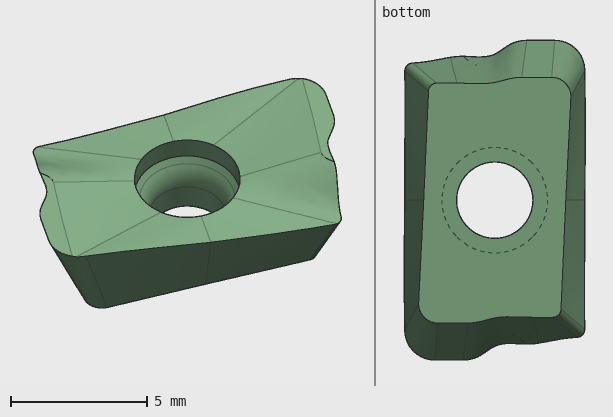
import cadquery as cq
import math

height = 3.6

base_long_y = 4.51
base_short_y = 4.3
base_mid_x = 2.61
base_wide_x = 2.8
base_narrow_x = 2.43
base_nose_radius = 0.7

rim_long_y = 5.88
rim_short_y = 5.31
rim_mid_x = 3.45
rim_wide_x = 3.31
rim_narrow_x = 3.63
rim_nose_radius = 1.12

small_corner_radius = 0.29
wave_start_x = -1.65
wave_knee_x = 0.0
wave_knee_share = 0.1
wave_end_x = 1.18

valley_z = 2.98
low_corner_z = 2.55
crest_z = 3.71
border_x = 3.7
ramp_high_x = -0.59
low_end_y = 5.52
ramp_end_y = 5.52
high_end_y = 5.99
low_level_y = 4.0
high_level_y = 4.46
fan_angles = (180, 225, 258, 315, 360)
cutter_depth = 1.76

bore_radius = 2.8 / 2
mouth_radius = 1.94
seat_radius = 1.75
mouth_floor_z = 2.13
seat_top_z = 1.9
seat_bottom_z = 1.05


def opposite(x, y, turned):
    """Point turned half a revolution about Z when asked."""
    return (-x, -y) if turned else (x, y)


def half_outline(sketch, turned, mid_x, wide_x, narrow_x, long_y, short_y, nose_radius):
    """Draw one end of the outline, from the small-corner flank round to the other flank."""

    def at(x, y):
        return opposite(x, y, turned)

    corner = small_corner_radius
    inset = 1 - math.sqrt(0.5)
    sketch = sketch.lineTo(*at(-narrow_x, -short_y + corner))
    sketch = sketch.threePointArc(
        at(-narrow_x + corner * inset, -short_y + corner * inset),
        at(-narrow_x + corner, -short_y),
    )
    spread = wide_x / rim_wide_x
    wave_start = at(wave_start_x * spread, -short_y)
    knee_y = short_y + wave_knee_share * (long_y - short_y)
    wave_knee = at(wave_knee_x * spread, -knee_y)
    wave_end = at(wave_end_x * spread, -long_y)
    along = at(1, 0)
    sketch = sketch.lineTo(*wave_start)
    sketch = sketch.spline([wave_knee, wave_end], tangents=[along, None, along], includeCurrent=True)
    sketch = sketch.lineTo(*at(wide_x - nose_radius, -long_y))
    sketch = sketch.threePointArc(
        at(wide_x - nose_radius * inset, -long_y + nose_radius * inset),
        at(wide_x, -long_y + nose_radius),
    )
    return sketch.lineTo(*at(mid_x, 0))


def outline(z, mid_x, *sizes):
    """Closed outline wire at the given height."""
    sketch = cq.Workplane("XY", origin=(0, 0, z)).moveTo(-mid_x, 0)
    for turned in (False, True):
        sketch = half_outline(sketch, turned, mid_x, *sizes)
    return sketch.wire().val()


def tapered_body():
    base = outline(0, base_mid_x, base_wide_x, base_narrow_x, base_long_y, base_short_y, base_nose_radius)
    rim = outline(height, rim_mid_x, rim_wide_x, rim_narrow_x, rim_long_y, rim_short_y, rim_nose_radius)
    return cq.Workplane(cq.Solid.makeLoft([base, rim], True))


def mouth_point(angle):
    turn = math.radians(angle)
    return cq.Vector(mouth_radius * math.cos(turn), mouth_radius * math.sin(turn), valley_z)


def top_border():
    """Edges around the -Y half of the top surface, from the -X side to the +X side."""
    low_side = cq.Vector(-border_x, 0, valley_z)
    low_corner = cq.Vector(-border_x, -low_end_y, low_corner_z)
    low_turn = cq.Vector(-border_x, -low_level_y, low_corner_z)
    ramp_top = cq.Vector(ramp_high_x, -ramp_end_y, crest_z)
    high_corner = cq.Vector(border_x, -high_end_y, crest_z)
    high_turn = cq.Vector(border_x, -high_level_y, crest_z)
    high_side = cq.Vector(border_x, 0, valley_z)
    along = cq.Vector(1, 0, 0)
    return [
        cq.Edge.makeBezier([low_side, low_turn, low_corner]),
        cq.Edge.makeSpline([low_corner, ramp_top], tangents=[along, along]),
        cq.Edge.makeLine(ramp_top, high_corner),
        cq.Edge.makeBezier([high_corner, high_turn, high_side]),
    ]


def top_cutters():
    """Solids standing on the -Y half of the top surface."""
    cutters = []
    for border, start, end in zip(top_border(), fan_angles, fan_angles[1:]):
        mouth = cq.Edge.makeThreePointArc(
            mouth_point(start), mouth_point((start + end) / 2), mouth_point(end)
        )
        surface = cq.Face.makeRuledSurface(mouth, border)
        cutters.append(cq.Solid.extrudeLinear(surface, cq.Vector(0, 0, cutter_depth)))
    return cutters


def screw_hole():
    """Cylindrical mouth, short cone, rounded seat and straight bore."""
    rise = seat_top_z - seat_bottom_z
    step = seat_radius - bore_radius
    seat_arc_radius = (rise**2 + step**2) / (2 * step)
    half_sweep = math.asin(rise / seat_arc_radius) / 2
    seat_mid = (
        bore_radius + seat_arc_radius * (1 - math.cos(half_sweep)),
        seat_bottom_z + seat_arc_radius * math.sin(half_sweep),
    )
    return (
        cq.Workplane("XZ")
        .lineTo(bore_radius, 0)
        .lineTo(bore_radius, seat_bottom_z)
        .threePointArc(seat_mid, (seat_radius, seat_top_z))
        .lineTo(mouth_radius, mouth_floor_z)
        .lineTo(mouth_radius, height)
        .lineTo(0, height)
        .close()
        .revolve(360, (0, 0, 0), (0, 1, 0))
    )


body = tapered_body().cut(screw_hole())
for cutter in top_cutters():
    body = body.cut(cq.Workplane(cutter))
    body = body.cut(cq.Workplane(cutter.rotate(cq.Vector(0, 0, 0), cq.Vector(0, 0, 1), 180)))
result = body